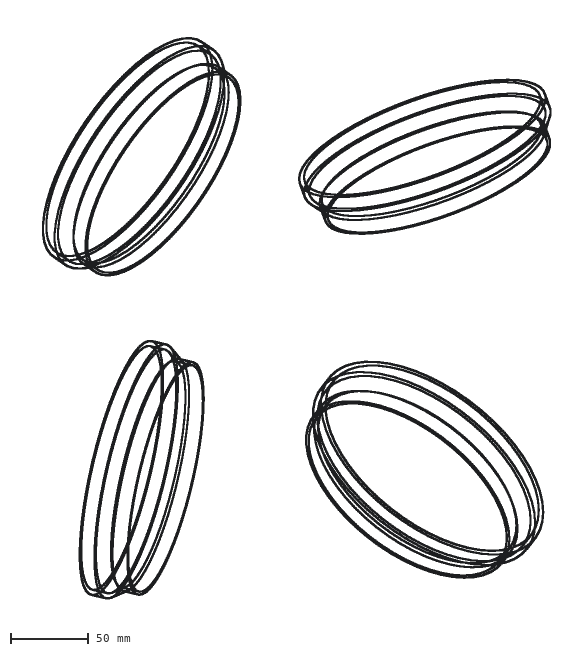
import cadquery as cq

large_outer_diameter = 168.28
large_wall = 3.4
small_outer_diameter = 154.0
small_wall = 2.0

section_length = 10.0
cone_start = section_length
cone_end = 2 * section_length
total_length = 3 * section_length

bore_cone_lead = 1.8
bore_cone_end = cone_end - bore_cone_lead

large_outer_radius = large_outer_diameter / 2
large_inner_radius = large_outer_radius - large_wall
small_outer_radius = small_outer_diameter / 2
small_inner_radius = small_outer_radius - small_wall

axis_start = (0, 0, 0)
axis_end = (1, 0, 0)
full_turn = 360


def wall_profile():
    """Closed wall section in the XY plane: X along the axis, Y radial."""
    return (
        cq.Workplane("XY")
        .moveTo(0, large_inner_radius)
        .lineTo(0, large_outer_radius)
        .lineTo(cone_start, large_outer_radius)
        .lineTo(cone_end, small_outer_radius)
        .lineTo(total_length, small_outer_radius)
        .lineTo(total_length, small_inner_radius)
        .lineTo(bore_cone_end, small_inner_radius)
        .lineTo(cone_start, large_inner_radius)
        .close()
    )


result = wall_profile().revolve(full_turn, axis_start, axis_end)